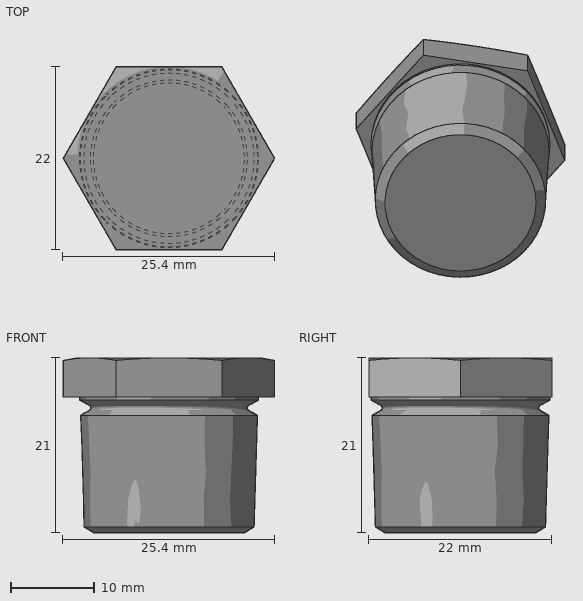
import cadquery as cq
import math

across_corners = 25.4
across_flats = across_corners * math.cos(math.radians(30))
total_height = 21.0
head_height = 4.72
corner_drop = 0.3

collar_radius = 10.75
collar_height = 0.35
groove_floor_radius = 9.42
groove_edge_radius = 9.55
groove_floor_width = 0.53
upper_flank_height = 0.65
lower_flank_height = 0.64

plug_top_radius = 10.65
plug_bottom_radius = 10.24
tip_radius = 9.07
tip_height = 0.7

head_bottom = total_height - head_height
collar_bottom = head_bottom - collar_height
groove_top = collar_bottom - upper_flank_height
groove_bottom = groove_top - groove_floor_width
plug_top = groove_bottom - lower_flank_height


def spin(profile):
    """Revolve a closed radius-height profile a full turn about Z."""
    return profile.revolve(360, (0, 0, 0), (0, 1, 0))


def make_head():
    """Hexagon with corners on X and a conical bevel touching the flats."""
    hexagon = (
        cq.Workplane("XY")
        .workplane(offset=head_bottom)
        .polygon(6, across_corners)
        .extrude(head_height)
    )
    bevel_profile = (
        cq.Workplane("XZ", origin=(0, 0, head_bottom))
        .lineTo(across_corners / 2, 0)
        .lineTo(across_corners / 2, head_height - corner_drop)
        .lineTo(across_flats / 2, head_height)
        .lineTo(0, head_height)
        .close()
    )
    return hexagon.intersect(spin(bevel_profile))


def make_plug():
    """Collar, relief groove and tapered plug with a chamfered tip."""
    groove_middle = (groove_top + groove_bottom) / 2
    profile = (
        cq.Workplane("XZ")
        .lineTo(tip_radius, 0)
        .lineTo(plug_bottom_radius, tip_height)
        .lineTo(plug_top_radius, plug_top)
        .lineTo(groove_edge_radius, groove_bottom)
        .threePointArc((groove_floor_radius, groove_middle), (groove_edge_radius, groove_top))
        .lineTo(collar_radius, collar_bottom)
        .lineTo(collar_radius, head_bottom)
        .lineTo(0, head_bottom)
        .close()
    )
    return spin(profile)


result = make_head().union(make_plug())